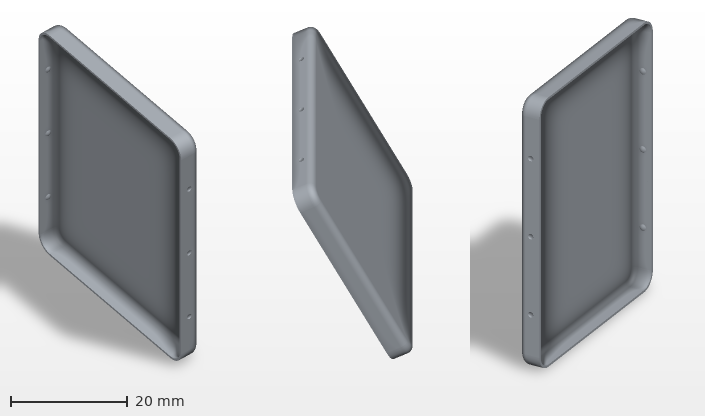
import cadquery as cq

width = 39.0
depth = 4.0
height = 51.7
wall = 0.4
corner_radius = 3.0
back_edge_radius = 1.25

dimple_radius = 0.5
dimple_depth = 0.35
bump_radius = 0.6
bump_height = 0.2
detent_spacing = 15.0
detent_from_rim = 1.75

rim_y = -depth / 2


def rounded_block(inset):
    """Rounded block from the open rim to the back, inset evenly on its sides and back."""
    block = cq.Workplane("XY").box(width - 2 * inset, depth - inset, height - 2 * inset)
    block = block.translate((0, -inset / 2, 0))
    block = block.edges("|Y").fillet(corner_radius - inset)
    return block.faces(">Y").edges().fillet(back_edge_radius - inset)


def detent_domes(base_x, base_radius, rise, root=0):
    """Six spherical caps pointing inward, based at x = -base_x and +base_x.

    A nonzero root extends each cap outward from its base as a short cylinder.
    """
    sphere_radius = (base_radius**2 + rise**2) / (2 * rise)
    sphere_offset = sphere_radius - rise
    mid_rise = rise / 2
    mid_radius = (sphere_radius**2 - (sphere_offset + mid_rise) ** 2) ** 0.5

    profile = cq.Workplane("XY").moveTo(-root, 0).lineTo(-root, base_radius)
    if root > 0:
        profile = profile.lineTo(0, base_radius)
    profile = profile.threePointArc((mid_rise, mid_radius), (rise, 0)).close()
    left_dome = profile.revolve(360, (0, 0, 0), (1, 0, 0)).translate((-base_x, rim_y + detent_from_rim, 0))

    domes = cq.Workplane("XY")
    for step in (-1, 0, 1):
        dome = left_dome.translate((0, 0, step * detent_spacing))
        domes = domes.add(dome).add(dome.mirror("YZ"))
    return domes.combine()


tray = rounded_block(0).cut(rounded_block(wall))

bumps = detent_domes(width / 2 - wall, bump_radius, bump_height, root=wall / 2)
dimples = detent_domes(width / 2, dimple_radius, dimple_depth)
result = tray.union(bumps).cut(dimples)